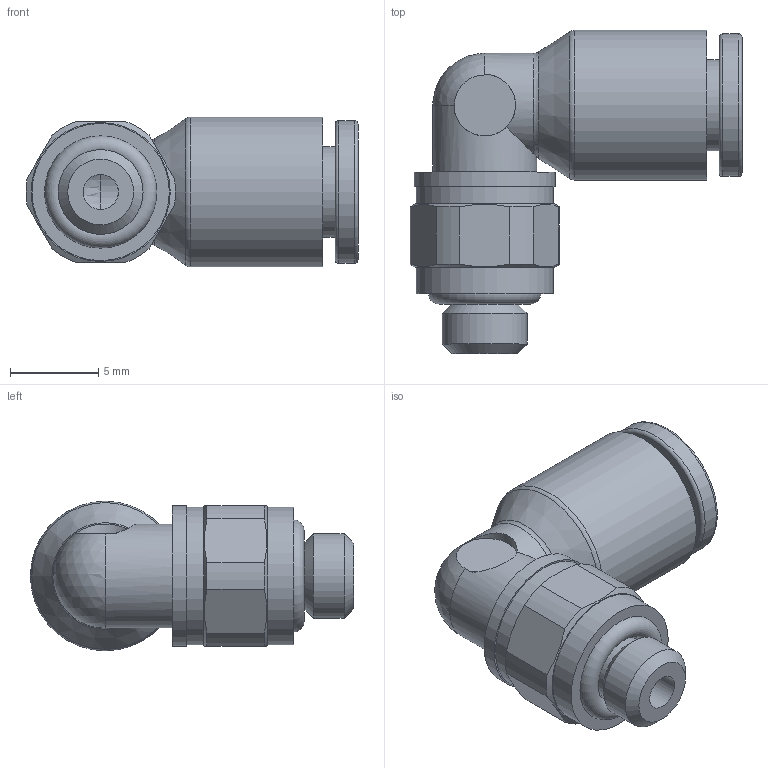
import cadquery as cq
import math


elbow_radius = 5.9 / 2
socket_radius = 4.0 / 2
passage_radius = 2.0 / 2

recess_radius = 3.5 / 2
recess_floor_z = 2.4

sleeve_radius = 8.5 / 2
shoulder_start = elbow_radius
shoulder_end = 4.95
shoulder_blend = 0.5
sleeve_end = 12.62
arm_end = 14.62
release_ring_length = 1.3
release_ring_start = arm_end - release_ring_length
release_ring_radius = 8.1 / 2
release_ring_round = 0.2
release_neck_radius = 5.17 / 2

flange_radius = 8.0 / 2
flange_top = 3.8
flange_bottom = 4.62
collar_radius = 7.8 / 2
collar_bottom = 10.7
nut_top = 5.6
nut_bottom = 9.22
nut_across_flats = 8.0
nut_corner_radius = 8.5 / 2
nut_end_radius = 3.95
nut_turn = 30
nut_chamfer_angle = math.radians(30)

seal_section_radius = 0.6
seal_centre_radius = 6.38 / 2 - seal_section_radius
thread_radius = 4.82 / 2
thread_chamfer = 0.54
thread_neck_radius = thread_radius - thread_chamfer
thread_top = 11.83
stem_end = 14.11


def cylinder_x(radius, start, end):
    """Cylinder on the X axis between two X stations."""
    return cq.Workplane("YZ", origin=(start, 0, 0)).circle(radius).extrude(end - start)


def cylinder_y(radius, start, end):
    """Cylinder on the Y axis between two distances along -Y."""
    return cq.Workplane("XZ", origin=(0, -start, 0)).circle(radius).extrude(end - start)


def revolve_y(points):
    """Revolve a (radius, distance along -Y) outline around the Y axis."""
    outline = [(radius, -distance) for radius, distance in points]
    return cq.Workplane("XY").polyline(outline).close().revolve(360, (0, 0, 0), (0, 1, 0))


def elbow_shape(arm_radius, arm_length, stem_radius, stem_length):
    """Round arm and stem legs meeting in a ball of the arm radius at the corner."""
    corner = cq.Workplane("XY").sphere(arm_radius)
    arm = cylinder_x(arm_radius, 0, arm_length)
    stem = cylinder_y(stem_radius, 0, stem_length)
    return corner.union(arm).union(stem)


def tube_arm():
    """Coned shoulder with blended ends, sleeve, neck and release ring."""
    rise = sleeve_radius - elbow_radius
    cone_angle = math.atan2(rise, shoulder_end - shoulder_start)
    setback = shoulder_blend * math.tan(cone_angle / 2)
    run = setback * math.cos(cone_angle)
    climb = setback * math.sin(cone_angle)
    sleeve = (
        cq.Workplane("XY")
        .moveTo(0, 0)
        .lineTo(0, elbow_radius)
        .lineTo(shoulder_start - setback, elbow_radius)
        .radiusArc((shoulder_start + run, elbow_radius + climb), -shoulder_blend)
        .lineTo(shoulder_end - run, sleeve_radius - climb)
        .radiusArc((shoulder_end + setback, sleeve_radius), shoulder_blend)
        .lineTo(sleeve_end, sleeve_radius)
        .lineTo(sleeve_end, 0)
        .close()
        .revolve(360, (0, 0, 0), (1, 0, 0))
    )
    neck = cylinder_x(release_neck_radius, sleeve_end, release_ring_start)
    ring = cylinder_x(release_ring_radius, release_ring_start, arm_end).edges().fillet(release_ring_round)
    return sleeve.union(neck).union(ring)


def nut():
    """Hexagon with flats facing +Z and -Z, rounded corners and chamfered ends."""
    hexagon = (
        cq.Workplane("XZ", origin=(0, -nut_top, 0))
        .transformed(rotate=(0, 0, nut_turn))
        .polygon(6, nut_across_flats, circumscribed=True)
        .extrude(nut_bottom - nut_top)
    )
    chamfer_height = (nut_corner_radius - nut_end_radius) * math.tan(nut_chamfer_angle)
    envelope = revolve_y([
        (0, nut_top),
        (nut_end_radius, nut_top),
        (nut_corner_radius, nut_top + chamfer_height),
        (nut_corner_radius, nut_bottom - chamfer_height),
        (nut_end_radius, nut_bottom),
        (0, nut_bottom),
    ])
    return hexagon.intersect(envelope)


def seal_ring():
    """Round-section ring half sunk into the end face of the collar."""
    return (
        cq.Workplane("XY")
        .center(seal_centre_radius, -collar_bottom)
        .circle(seal_section_radius)
        .revolve(360, (-seal_centre_radius, 0, 0), (-seal_centre_radius, 1, 0))
    )


def thread_end():
    """Neck and plain thread cylinder with 45 degree chamfers."""
    return revolve_y([
        (0, collar_bottom),
        (thread_neck_radius, collar_bottom),
        (thread_neck_radius, thread_top - thread_chamfer),
        (thread_radius, thread_top),
        (thread_radius, stem_end - thread_chamfer),
        (thread_neck_radius, stem_end),
        (0, stem_end),
    ])


def elbow_recess():
    """Round flat-bottomed pocket in the top of the elbow."""
    return (
        cq.Workplane("XY", origin=(0, 0, recess_floor_z))
        .circle(recess_radius)
        .extrude(elbow_radius - recess_floor_z)
    )


elbow = elbow_shape(elbow_radius, shoulder_start, elbow_radius, flange_top)
elbow = elbow.union(tube_arm()).cut(elbow_recess())
flange = cylinder_y(flange_radius, flange_top, flange_bottom)
collar = cylinder_y(collar_radius, flange_bottom, collar_bottom)
body = elbow.union(flange).union(collar).union(nut()).union(seal_ring()).union(thread_end())
result = body.cut(elbow_shape(socket_radius, arm_end, passage_radius, stem_end))